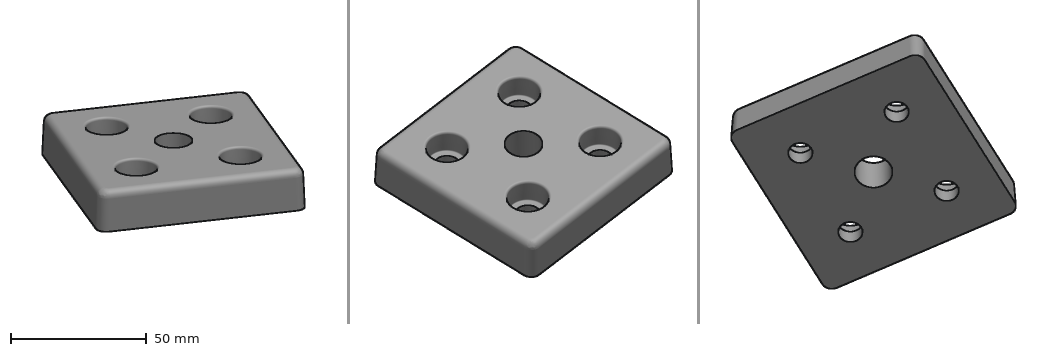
import cadquery as cq

side = 80.0
height = 16.0
draft_angle = 2.0
corner_radius = 4.0
top_edge_radius = 3.0

center_hole_diameter = 14.0

bolt_spacing = 40.0
bolt_hole_top_diameter = 9.4
counterbore_top_diameter = 15.5
counterbore_depth = 9.0
mouth_edge_radius = 1.0
floor_edge_radius = 0.5


def drafted_block():
    """Square block with leaning sides, rounded upright corners and a rounded top rim."""
    block = cq.Workplane("XY").rect(side, side).extrude(height, taper=draft_angle)
    block = block.edges("not(|X or |Y)").fillet(corner_radius)
    return block.faces(">Z").edges().fillet(top_edge_radius)


def drafted_pin(top_diameter, top, depth):
    """Round pin reaching down from the top level, narrowing at the draft angle."""
    pin = cq.Workplane("XY").circle(top_diameter / 2).extrude(-depth, taper=draft_angle)
    return pin.translate((0, 0, top))


def at_bolt_positions(body):
    """Copies of a body at the four bolt positions."""
    half_spacing = bolt_spacing / 2
    return [
        body.translate((x, y, 0))
        for x in (-half_spacing, half_spacing)
        for y in (-half_spacing, half_spacing)
    ]


counterbore_floor = height - counterbore_depth
counterbore = drafted_pin(counterbore_top_diameter, height, counterbore_depth)
counterbore = counterbore.faces("<Z").edges().fillet(floor_edge_radius)
bolt_hole = drafted_pin(bolt_hole_top_diameter, counterbore_floor, counterbore_floor)

block = drafted_block()
for cutter in at_bolt_positions(counterbore):
    block = block.cut(cutter)

mouth_edges = [wire.Edges()[0] for wire in block.faces(">Z").val().innerWires()]
block = block.newObject(mouth_edges).fillet(mouth_edge_radius)

for cutter in at_bolt_positions(bolt_hole):
    block = block.cut(cutter)

result = block.faces("<Z").workplane().hole(center_hole_diameter)